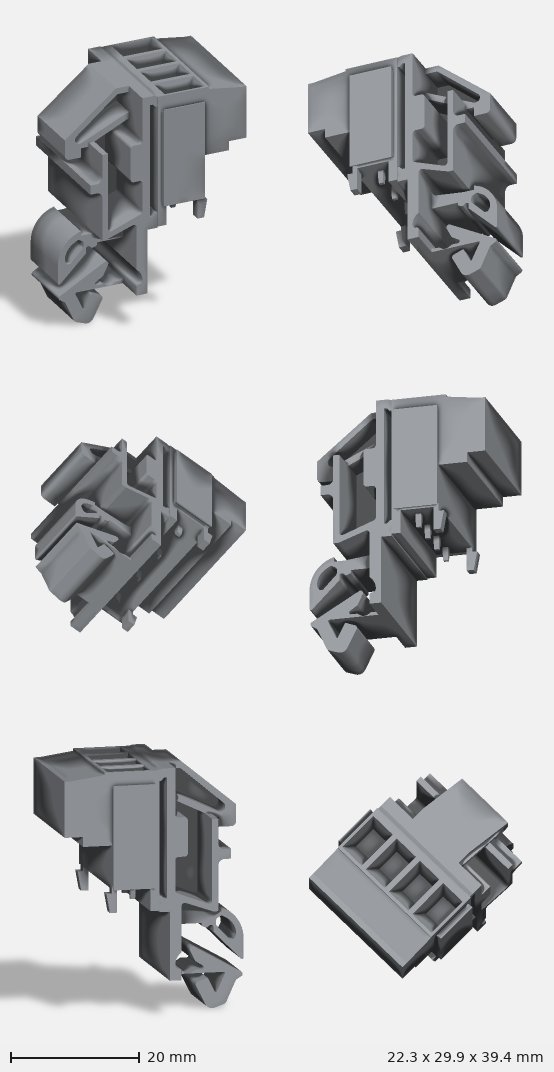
import cadquery as cq
import math


POLES = 4
PITCH = 5.1
HOUSING_WIDTH = POLES * PITCH
BRACKET_WIDTH = 20.0
CLIP_WIDTH = BRACKET_WIDTH / 2
WALL = 1.0

HOUSING_TOP = 39.2
HOUSING_BACK = 15.2
HOUSING_FLOOR = 20.65
LEG_BOTTOM = 16.9
HOOK_FACE = 7.65
HOOK_THICKNESS = 0.83
HOOK_WIDTH = 1.65
REAR_WALL_THICKNESS = 1.45

FUNNEL_BACK, FUNNEL_FRONT = 8.27, 1.38
FUNNEL_WIDTH = 4.2
FUNNEL_FLOOR_BACK, FUNNEL_FLOOR_FRONT = 6.0, 2.15
FUNNEL_FLOOR_WIDTH = 2.7
FUNNEL_DEPTH = 5.0

RAIL_FACE = 11.15
RAIL_TIP, RAIL_NECK = 0.2, 0.3
RAIL_TOP, RAIL_BEVEL = 37.2, 0.55
RAIL_FRONT = 0.65

PIN_SIZE = 0.85
PIN_Y = 3.75
PIN_TIP, PIN_SHOULDER = 18.48, 19.55
PIN_TIP_X, PIN_TIP_Y = 0.55, 0.75
PIN_EMBED = 1.97

BRACKET_TOP = 39.4
BACK_WALL = -2.55
FLANGE_FACE = -9.45
FLANGE_BACK = FLANGE_FACE + WALL
FLANGE_TOP, FLANGE_BOTTOM = 31.0, 16.35
STEP_FACE, STEP_TOP, STEP_BOTTOM = -4.57, 31.52, 25.25
STEP_ROUND = 0.5
RIB_FACE, RIB_TOP, RIB_BOTTOM = -11.5, 26.15, 24.6
RIB_FILLET = 1.0
TROUGH_BACK, TROUGH_FRONT = 19.62, 17.38
STEM_BACK, STEM_FACE = -1.7, -3.6
STEM_TOP, STEM_BOTTOM = 16.63, 5.67
STEM_CORE = (STEM_BACK + STEM_FACE) / 2
NOTCH_FLOOR, NOTCH_TOP, NOTCH_BOTTOM = -2.55, 10.13, 7.53

GROOVE_TOP, GROOVE_BOTTOM = 37.95, 18.75
GROOVE_BEVEL = 0.47
GROOVE_NECK, GROOVE_DEPTH = 0.3, 1.25

LATCH_FACE, LATCH_SHOULDER, LATCH_BOTTOM = -13.55, 32.2, 28.72
LATCH_ROOT = 33.85


def toward(start, end, distance):
    """The point that lies the given distance from start on the way to end."""
    span = math.dist(start, end)
    return tuple(a + (b - a) * distance / span for a, b in zip(start, end))


def round_corner(before, corner, after, radius):
    """Start, middle and end of the tangent arc that rounds a corner."""
    ray_in = math.atan2(before[1] - corner[1], before[0] - corner[0])
    ray_out = math.atan2(after[1] - corner[1], after[0] - corner[0])
    half = abs(math.remainder(ray_out - ray_in, 2 * math.pi)) / 2
    setback = radius / math.tan(half)
    start = toward(corner, before, setback)
    end = toward(corner, after, setback)
    chord_middle = ((start[0] + end[0]) / 2, (start[1] + end[1]) / 2)
    middle = toward(corner, chord_middle, radius / math.sin(half) - radius)
    return start, middle, end


def slab(corners, x_from, x_to):
    """Extrude a closed Y-Z outline along X; a corner's third number is its rounding radius."""
    count = len(corners)
    stops = []
    for i, corner in enumerate(corners):
        point = corner[:2]
        if len(corner) == 3:
            before = corners[i - 1][:2]
            after = corners[(i + 1) % count][:2]
            stops.append(round_corner(before, point, after, corner[2]))
        else:
            stops.append((point,))
    outline = cq.Workplane("YZ").workplane(offset=x_from).moveTo(*stops[0][-1])
    for stop in stops[1:]:
        outline = outline.lineTo(*stop[0])
        if len(stop) == 3:
            outline = outline.threePointArc(stop[1], stop[2])
    return outline.close().extrude(x_to - x_from)


def centred_slab(corners, width):
    return slab(corners, -width / 2, width / 2)


def pole_places():
    return [(i - (POLES - 1) / 2) * PITCH for i in range(POLES)]


def housing_block():
    return centred_slab([
        (0, HOUSING_TOP),
        (8.83, HOUSING_TOP),
        (8.83, 38.8),
        (14.22, 38.05),
        (HOUSING_BACK, 38.05),
        (HOUSING_BACK, 29.15),
        (12.25, 29.15),
        (12.25, 27.58),
        (HOOK_FACE, 27.58),
        (HOOK_FACE, HOUSING_FLOOR),
        (REAR_WALL_THICKNESS, HOUSING_FLOOR),
        (REAR_WALL_THICKNESS, LEG_BOTTOM),
        (0, LEG_BOTTOM),
    ], HOUSING_WIDTH)


def hook_leg(x_from):
    """Snap hook that hangs from a back corner of the housing floor."""
    hook_inside = HOOK_FACE - HOOK_THICKNESS
    return slab([
        (hook_inside, HOUSING_FLOOR),
        (HOOK_FACE, HOUSING_FLOOR),
        (HOOK_FACE, 19.95),
        (8.5, 19.95),
        (7.95, LEG_BOTTOM),
        (hook_inside, LEG_BOTTOM),
    ], x_from, x_from + HOOK_WIDTH)


def end_rail(side):
    """Rail on one end of the housing, wider at its outer face; side is -1 or 1."""
    base = HOUSING_WIDTH / 2
    neck_top = RAIL_TOP - RAIL_BEVEL
    neck_bottom = HOUSING_FLOOR + RAIL_BEVEL
    tip_start = RAIL_FACE - RAIL_TIP
    profile = [
        (base, neck_top),
        (base + RAIL_NECK, neck_top),
        (tip_start, RAIL_TOP),
        (RAIL_FACE, RAIL_TOP),
        (RAIL_FACE, HOUSING_FLOOR),
        (tip_start, HOUSING_FLOOR),
        (base + RAIL_NECK, neck_bottom),
        (base, neck_bottom),
    ]
    return (
        cq.Workplane("XZ", origin=(0, HOOK_FACE, 0))
        .polyline([(side * x, z) for x, z in profile])
        .close()
        .extrude(HOOK_FACE - RAIL_FRONT)
    )


def funnel(x):
    """Tapered wire pocket that opens at the top of the housing."""
    floor_shift = (FUNNEL_FLOOR_BACK + FUNNEL_FLOOR_FRONT - FUNNEL_BACK - FUNNEL_FRONT) / 2
    return (
        cq.Workplane("XY", origin=(x, (FUNNEL_BACK + FUNNEL_FRONT) / 2, HOUSING_TOP))
        .rect(FUNNEL_WIDTH, FUNNEL_BACK - FUNNEL_FRONT)
        .workplane(offset=-FUNNEL_DEPTH)
        .center(0, floor_shift)
        .rect(FUNNEL_FLOOR_WIDTH, FUNNEL_FLOOR_BACK - FUNNEL_FLOOR_FRONT)
        .loft(ruled=True)
    )


def terminal_housing():
    housing = housing_block()
    for hook_start in (-HOUSING_WIDTH / 2, HOUSING_WIDTH / 2 - HOOK_WIDTH):
        housing = housing.union(hook_leg(hook_start))
    for side in (-1, 1):
        housing = housing.union(end_rail(side))
    for x in pole_places():
        housing = housing.cut(funnel(x))
    return housing


def bracket_frame():
    """Full-width section: back wall with step, sloping trough, flange with rib, and stem."""
    return centred_slab([
        (0, HOUSING_TOP),
        (-0.6, BRACKET_TOP),
        (BACK_WALL, BRACKET_TOP),
        (BACK_WALL, STEP_TOP, STEP_ROUND),
        (STEP_FACE, STEP_TOP, STEP_ROUND),
        (STEP_FACE, STEP_BOTTOM, STEP_ROUND),
        (BACK_WALL, STEP_BOTTOM, STEP_ROUND),
        (BACK_WALL, TROUGH_BACK, 0.47),
        (FLANGE_BACK, TROUGH_FRONT, 0.47),
        (FLANGE_BACK, FLANGE_TOP),
        (FLANGE_FACE, FLANGE_TOP),
        (FLANGE_FACE, RIB_TOP, RIB_FILLET),
        (RIB_FACE, RIB_TOP),
        (RIB_FACE, RIB_BOTTOM),
        (FLANGE_FACE, RIB_BOTTOM, RIB_FILLET),
        (FLANGE_FACE, FLANGE_BOTTOM),
        (-8.63, FLANGE_BOTTOM),
        (STEM_FACE, 18.12, 0.47),
        (STEM_FACE, NOTCH_TOP),
        (NOTCH_FLOOR, 9.4, 2.35),
        (NOTCH_FLOOR, NOTCH_BOTTOM, 0.6),
        (STEM_FACE, NOTCH_BOTTOM, 0.4),
        (STEM_FACE, STEM_BOTTOM),
        (STEM_BACK, STEM_BOTTOM),
        (STEM_BACK, STEM_TOP),
        (0, STEM_TOP),
    ], BRACKET_WIDTH)


def latch_outline():
    return [
        (BACK_WALL, BRACKET_TOP),
        (-4.75, BRACKET_TOP),
        (LATCH_FACE, LATCH_SHOULDER),
        (LATCH_FACE, LATCH_BOTTOM, 0.8),
        (-10.75, LATCH_BOTTOM),
        (-10.75, 30.3),
        (FLANGE_FACE, 30.3),
        (FLANGE_FACE, FLANGE_TOP),
        (FLANGE_BACK, FLANGE_TOP),
        (BACK_WALL, LATCH_ROOT),
    ]


def latch():
    """Hooked latch made of two converging arms."""
    window = centred_slab([
        (BACK_WALL, 38.38),
        (-4.55, 38.38, 0.8),
        (-16.1, 28.65, 0.8),
        (BACK_WALL, 35.0),
    ], CLIP_WIDTH)
    return centred_slab(latch_outline(), CLIP_WIDTH).cut(window)


def centre_web():
    """Thin web in the middle plane that closes the latch window and the trough."""
    trough_fill = centred_slab([
        (BACK_WALL, LATCH_ROOT),
        (FLANGE_BACK, FLANGE_TOP),
        (FLANGE_BACK, TROUGH_FRONT),
        (BACK_WALL, TROUGH_BACK),
    ], WALL)
    return centred_slab(latch_outline(), WALL).union(trough_fill)


def spring_arm():
    """Arm with a round nose that reaches over the upper edge of the mounting rail."""
    arm = centred_slab([
        (STEM_CORE, 13.6),
        (STEM_CORE, 17.02),
        (STEM_FACE, 17.02),
        (STEM_FACE, 15.9, 1.02),
        (-9.05, 15.3),
        (-10.8, 15.3),
        (-10.8, 16.05),
        (-14.75, 14.97, 5.3),
        (-14.75, 7.25, 0.25),
        (-9.9, 12.1),
        (-9.9, 13.2, 0.3),
        (-9.35, 13.2, 0.25),
        (-8.85, 12.75, 0.25),
        (-8.05, 13.1, 0.3),
        (-8.05, 13.6),
    ], CLIP_WIDTH)
    nose_hole = centred_slab([
        (-13.55, 10.8, 0.4),
        (-12.55, 10.8, 0.2),
        (-10.32, 13.15, 0.4),
        (-10.32, 14.2, 0.47),
        (-11.25, 14.65, 0.35),
        (-13.55, 13.3, 3.07),
    ], CLIP_WIDTH)
    return arm.cut(nose_hole)


def spring_foot():
    """Springy foot: thin hinged strip, pointed jaw and curled pull tab."""
    return centred_slab([
        (STEM_CORE, STEM_BOTTOM),
        (STEM_CORE, 6.7),
        (STEM_FACE, 6.7),
        (STEM_FACE, 6.23, 0.45),
        (-4.8, 6.23),
        (-5.9, 5.5, 1.2),
        (-7.0, 6.23),
        (-9.1, 6.23, 0.3),
        (-6.97, 7.6, 0.3),
        (-5.5, 10.65, 0.45),
        (-14.97, 5.25, 0.4),
        (-13.5, 4.35, 0.47),
        (-11.85, 0.67, 0.6),
        (-9.1, -0.28, 1.22),
        (-6.85, 4.15, 0.5),
        (-9.0, 4.92, 0.2),
        (-10.3, 2.32, 0.1),
        (-11.85, STEM_BOTTOM, 0.2),
    ], CLIP_WIDTH)


def dovetail_groove(x_from, x_to):
    """Groove that widens away from the housing, cut into one end of the back wall."""
    neck_top = GROOVE_TOP - GROOVE_BEVEL
    neck_bottom = GROOVE_BOTTOM + GROOVE_BEVEL
    bevel_end = -GROOVE_NECK - GROOVE_BEVEL
    return slab([
        (0, neck_top),
        (-GROOVE_NECK, neck_top),
        (bevel_end, GROOVE_TOP),
        (-GROOVE_DEPTH, GROOVE_TOP),
        (-GROOVE_DEPTH, GROOVE_BOTTOM),
        (bevel_end, GROOVE_BOTTOM),
        (-GROOVE_NECK, neck_bottom),
        (0, neck_bottom),
    ], x_from, x_to)


def rail_bracket():
    bracket = bracket_frame()
    for part in (latch(), centre_web(), spring_arm(), spring_foot()):
        bracket = bracket.union(part)
    groove_end = CLIP_WIDTH / 2
    for groove_start in (-BRACKET_WIDTH / 2, groove_end):
        groove_length = BRACKET_WIDTH / 2 - groove_end
        bracket = bracket.cut(dovetail_groove(groove_start, groove_start + groove_length))
    return bracket


def contact_pin(x):
    """Square pin held in the housing floor, with a tapered lower tip."""
    shank = (
        cq.Workplane("XY", origin=(x, PIN_Y, PIN_SHOULDER))
        .rect(PIN_SIZE, PIN_SIZE)
        .extrude(HOUSING_FLOOR + PIN_EMBED - PIN_SHOULDER)
    )
    tip = (
        cq.Workplane("XY", origin=(x, PIN_Y, PIN_TIP))
        .rect(PIN_TIP_X, PIN_TIP_Y)
        .workplane(offset=PIN_SHOULDER - PIN_TIP)
        .rect(PIN_SIZE, PIN_SIZE)
        .loft(ruled=True)
    )
    return shank.union(tip)


pins = [contact_pin(x) for x in pole_places()]

moulding = terminal_housing().union(rail_bracket())
for pin in pins:
    moulding = moulding.cut(pin)

result = cq.Compound.makeCompound([moulding.val(), *[pin.val() for pin in pins]])